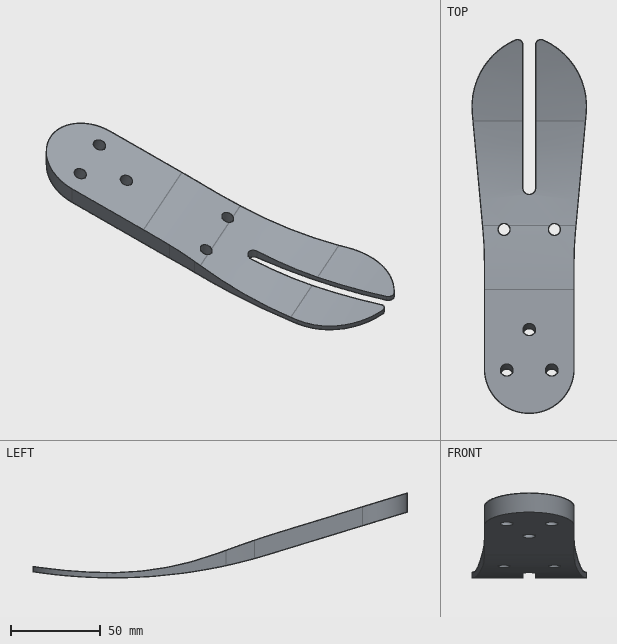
import cadquery as cq
import math


heel_radius = 25.0
length = 207.93
toe_end_y = length - heel_radius
flare_start_y = 60.0
flare_end_y = 75.8
toe_arc_y = 145.5
half_width = 63.79 / 2
taper_angle = math.radians(5.2)
toe_tip_radius = 3.0

slot_width = 7.0
slot_end_y = 96.8

heel_slope = math.radians(17.0)
heel_thickness = 10.2
toe_thickness = 3.0
height = 47.25
sole_radius = 293.0
crest_start_y = 44.0
crest_end_y = 79.4
crest_end_slope = math.radians(20.7)
toe_start_y = 137.5

heel_hole_diameter = 7.0
heel_hole_pair_spacing = 25.0
heel_hole_pair_y = -0.8
heel_hole_single_y = 21.7
front_hole_diameter = 6.5
front_hole_spacing = 28.0
front_hole_y = 77.3


def heel_top_z(y):
    """Height of the sloping heel top face at y."""
    return height - (y + heel_radius) * math.tan(heel_slope)


def side_profile():
    """Closed side outline of the sole, extruded across the full width."""
    heel_bottom_z = height - heel_thickness / math.cos(heel_slope)
    sole_start_z = sole_radius * (1 - math.cos(heel_slope))
    sole_start_y = (heel_bottom_z - sole_start_z) / math.tan(heel_slope) - heel_radius
    sole_centre_y = sole_start_y + sole_radius * math.sin(heel_slope)

    def arc_point(y, radius):
        return (y, sole_radius - math.sqrt(radius**2 - (y - sole_centre_y) ** 2))

    toe_top_radius = sole_radius - toe_thickness
    crest_radius = (crest_end_y - crest_start_y) / (math.sin(crest_end_slope) - math.sin(heel_slope))
    crest_drop = crest_radius * (math.cos(heel_slope) - math.cos(crest_end_slope))
    crest_end = (crest_end_y, heel_top_z(crest_start_y) - crest_drop)
    toe_mid_y = (toe_start_y + toe_end_y) / 2

    return (
        cq.Workplane("YZ")
        .moveTo(-heel_radius, height)
        .lineTo(crest_start_y, heel_top_z(crest_start_y))
        .tangentArcPoint(crest_end, relative=False)
        .tangentArcPoint(arc_point(toe_start_y, toe_top_radius), relative=False)
        .threePointArc(arc_point(toe_mid_y, toe_top_radius), arc_point(toe_end_y, toe_top_radius))
        .lineTo(*arc_point(toe_end_y, sole_radius))
        .threePointArc((sole_centre_y, 0), (sole_start_y, sole_start_z))
        .lineTo(-heel_radius, heel_bottom_z)
        .close()
        .extrude(half_width, both=True)
    )


def toe_arc_radius():
    """Radius of the toe arc whose rounded tip, beside the slot, ends at toe_end_y."""
    tip_centre_x = slot_width / 2 + toe_tip_radius
    tip_centre_y = toe_end_y - toe_tip_radius
    across = half_width - toe_tip_radius - tip_centre_x
    along = tip_centre_y - toe_arc_y
    return (across**2 + along**2) / (2 * across) + toe_tip_radius


def plan_outline():
    """Vertical prism with the outline of the sole, slot and rounded toe tips included."""
    flare_length = flare_end_y - flare_start_y
    flare_end_x = heel_radius + flare_length * math.tan(taper_angle / 2)
    toe_radius = toe_arc_radius()
    toe_centre_x = half_width - toe_radius

    def toe_arc_point(angle):
        return (toe_centre_x + toe_radius * math.cos(angle), toe_arc_y + toe_radius * math.sin(angle))

    wall_x = slot_width / 2
    tip_x = wall_x + toe_tip_radius
    tip_y = toe_end_y - toe_tip_radius
    tip_angle = math.atan2(tip_y - toe_arc_y, tip_x - toe_centre_x)
    half = (
        cq.Workplane("XY")
        .moveTo(0, -heel_radius)
        .radiusArc((heel_radius, 0), -heel_radius)
        .lineTo(heel_radius, flare_start_y)
        .tangentArcPoint((flare_end_x, flare_end_y), relative=False)
        .lineTo(*toe_arc_point(-taper_angle))
        .threePointArc((half_width, toe_arc_y), toe_arc_point(tip_angle))
        .tangentArcPoint((wall_x, tip_y), relative=False)
        .lineTo(wall_x, slot_end_y + wall_x)
        .radiusArc((0, slot_end_y), wall_x)
        .close()
        .extrude(height)
    )
    return half.union(half.mirror("YZ"))


def heel_hole(x, y):
    """Cutter square to the sloping heel face, centred on its top face at (x, y)."""
    axis = cq.Vector(0, math.sin(heel_slope), math.cos(heel_slope))
    depth = 2 * heel_thickness
    start = cq.Vector(x, y, heel_top_z(y)) - axis * depth
    return cq.Solid.makeCylinder(heel_hole_diameter / 2, 2 * depth, start, axis)


def front_hole(x):
    """Vertical cutter through the sole behind the slot."""
    return cq.Solid.makeCylinder(front_hole_diameter / 2, height, cq.Vector(x, front_hole_y, 0))


result = side_profile().intersect(plan_outline())
result = result.cut(cq.Workplane(heel_hole(0, heel_hole_single_y)))
for side in (-1, 1):
    result = result.cut(cq.Workplane(heel_hole(side * heel_hole_pair_spacing / 2, heel_hole_pair_y)))
    result = result.cut(cq.Workplane(front_hole(side * front_hole_spacing / 2)))